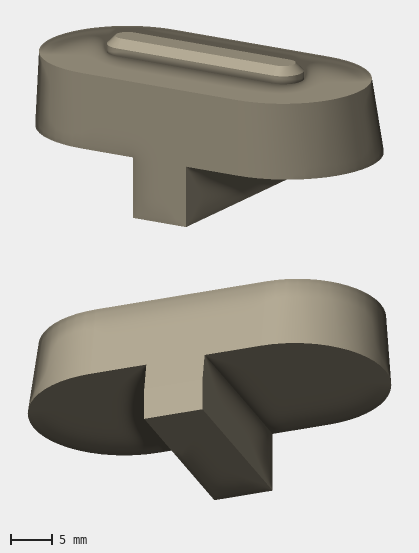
import cadquery as cq

body_length = 45.3
body_base_width = 23.3
body_top_width = 21.38
body_height = 9.5
end_spacing = body_length - body_base_width

ridge_width = 5.0
ridge_height = 2.0
ridge_chamfer = 1.0

key_width = 7.5
key_depth = 24.0
key_height = 7.6

body_center_y = body_top_width / 2
back_slope = (body_base_width - body_top_width) / body_height
key_slope_height = (key_depth - body_base_width) / back_slope


def stadium_plane(z, center_y):
    return cq.Workplane("XY", origin=(0, center_y, z))


def make_body():
    """Ruled loft between two stadiums that share the front plane."""
    base_center_y = body_base_width / 2
    return (
        stadium_plane(0, base_center_y)
        .slot2D(end_spacing + body_base_width, body_base_width)
        .workplane(offset=body_height)
        .center(0, body_center_y - base_center_y)
        .slot2D(end_spacing + body_top_width, body_top_width)
        .loft(ruled=True)
    )


def make_ridge():
    """Chamfered bar with round ends, centred on the top face."""
    return (
        stadium_plane(body_height, body_center_y)
        .slot2D(end_spacing + ridge_width, ridge_width)
        .extrude(ridge_height)
        .faces(">Z")
        .chamfer(ridge_chamfer)
    )


def make_key():
    """Bar across the underside; its back edge carries on the slope of the body."""
    profile = [
        (0, 0),
        (body_base_width, 0),
        (key_depth, -key_slope_height),
        (key_depth, -key_height),
        (0, -key_height),
    ]
    return cq.Workplane("YZ").polyline(profile).close().extrude(key_width / 2, both=True)


result = make_body().union(make_ridge()).union(make_key())